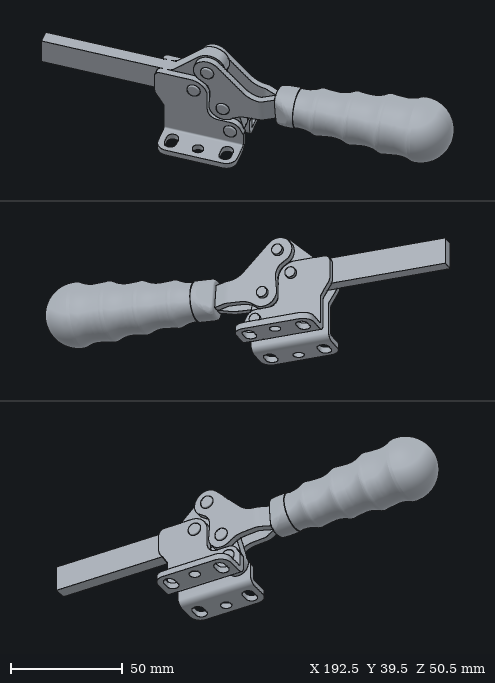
import cadquery as cq
import math

SHEET = 3.0
ARM_HALF = 3.0
OUTER_HALF = ARM_HALF + SHEET

PIVOT_PIN = (72.7, 30.5)
KNUCKLE_PIN = (79.0, 43.0)
HANDLE_PIN = (86.4, 23.0)
LINK_PIN = (89.9, 10.4)
PINS = (PIVOT_PIN, KNUCKLE_PIN, HANDLE_PIN, LINK_PIN)
HEAD_RADIUS = 3.0
HEAD_HEIGHT = 1.0
HEAD_ROUND = 0.5
TAIL_RADIUS = 2.5
TAIL_HEIGHT = 1.7

BASE_LEFT, BASE_RIGHT = 58.7, 96.0
BASE_DEPTH = 39.5
BASE_CORNER = 5.2
BEND_INNER = 1.0
BEND_OUTER = BEND_INNER + SHEET
SLOT_WIDTH, SLOT_LENGTH = 5.4, 8.5
SLOT_SPACING = 25.8
SLOT_Y = 12.9
HOLE_DIAMETER = 5.0
HOLE_Y = 14.2

PLATE_LEFT = 54.3
PLATE_SLOPE_TOP, PLATE_SLOPE_BOTTOM = 24.0, 17.0
PLATE_CORNER = 2.7
SLOPE_TOP_ROUND, SLOPE_BOTTOM_ROUND = 4.0, 2.3
SHOULDER_RADIUS = 7.9
NOTCH_LEFT, NOTCH_FLOOR = 79.0, 15.5
NOTCH_RADIUS = 5.0
PLATE_RIGHT_TOP = 9.8

BAR_BOTTOM, BAR_TOP = 23.7, 36.4
ARM_KNUCKLE_RADIUS = 7.5
ARM_PIVOT_RADIUS = 6.4
ARM_SLOPE_ANGLE = math.radians(133.5)
ARM_SLOPE_ROUND = 5.0
LINK_RADIUS = 5.2

HANDLE_RADIUS = 6.5
CLEARANCE_RADIUS = 7.7
NECK_HALF = 5.48
HANDLE_NECK_ROUND = 10.8
BEND_START = 103.7
BEND_END = 109.7
NECK_END = 127.0
PLAN_HALF_HEIGHT = 38.5
BEND_RADIUS = 3.0

AXIS_POINT = (119.3, 27.7)
AXIS_TILT = 3.7
BALL_RADIUS = 15.0
X_MAX = 192.5
GRIP_START_X = 110.5
GRIP_NOSE_RADIUS = 9.5
GRIP_NOSE_ROUND = 1.7
NOSE_LENGTH = 9.8
COLLAR_LENGTH = 4.2
COLLAR_STEP_LENGTH = 1.2
COLLAR_STEP = 0.4
CRESTS = ((19.8, 10.8), (35.6, 12.1), (51.2, 13.7))
CREST_HALF = 1.2
WAIST_OFFSET = 5.8
WAIST_DROP = 0.4
CROWN_HALF = 0.29
CROWN_HEIGHT = 0.2
RIM_LENGTH = 1.5
RIM_RISE = 0.2
FLARE_SAG = 0.67
CHEEK_HALF = 5.4
CHEEK_LENGTH = 7.7
CHEEK_ROUND = 3.8


def polar(center, radius, angle):
    return (center[0] + radius * math.cos(angle), center[1] + radius * math.sin(angle))


def extrude_y(outline, y_min, y_max):
    """Extrude a closed XZ outline between two Y values."""
    return outline.extrude(y_max - y_min).translate((0, y_max, 0))


def both_sides(solid):
    return solid.union(solid.mirror("XZ"))


def round_edge(solid, corner, radius):
    """Round the Y-directed edge that stands at an XZ corner."""
    middle_y = solid.val().Center().y
    nearest = cq.selectors.NearestToPointSelector((corner[0], middle_y, corner[1]))
    return solid.edges("|Y").edges(nearest).fillet(radius)


def axis_point(x, offset=0.0):
    """Point on the grip axis at x, shifted square to X by offset."""
    tilt = math.tan(math.radians(AXIS_TILT))
    return (x, AXIS_POINT[1] + (x - AXIS_POINT[0]) * tilt + offset)


def tapered_bar(start, start_radius, end, end_radius):
    """Two round ends joined by their outer tangents."""
    length = math.dist(start, end)
    heading = math.atan2(end[1] - start[1], end[0] - start[0])
    swing = math.acos((start_radius - end_radius) / length)
    outline = (
        cq.Workplane("XZ")
        .moveTo(*polar(start, start_radius, heading + swing))
        .threePointArc(
            polar(start, start_radius, heading + math.pi),
            polar(start, start_radius, heading - swing),
        )
        .lineTo(*polar(end, end_radius, heading - swing))
        .threePointArc(polar(end, end_radius, heading), polar(end, end_radius, heading + swing))
        .close()
    )
    return extrude_y(outline, -ARM_HALF, ARM_HALF)


def make_base_side():
    """One bent half of the base: upright plate, bend and slotted foot."""
    half_depth = BASE_DEPTH / 2
    middle_x = (BASE_LEFT + BASE_RIGHT) / 2
    shoulder_center = (NOTCH_LEFT - SHOULDER_RADIUS, BAR_TOP - SHOULDER_RADIUS)
    lug_radius = NOTCH_FLOOR - LINK_PIN[1]
    notch_center = (NOTCH_LEFT + NOTCH_RADIUS, NOTCH_FLOOR + NOTCH_RADIUS)

    outline = (
        cq.Workplane("XZ")
        .moveTo(BASE_LEFT, 0)
        .lineTo(BASE_LEFT, PLATE_SLOPE_BOTTOM)
        .lineTo(PLATE_LEFT, PLATE_SLOPE_TOP)
        .lineTo(PLATE_LEFT, BAR_TOP - PLATE_CORNER)
        .radiusArc((PLATE_LEFT + PLATE_CORNER, BAR_TOP), PLATE_CORNER)
        .lineTo(shoulder_center[0], BAR_TOP)
        .threePointArc(
            polar(shoulder_center, SHOULDER_RADIUS, math.radians(45)), (NOTCH_LEFT, shoulder_center[1])
        )
        .lineTo(NOTCH_LEFT, notch_center[1])
        .threePointArc(
            polar(notch_center, NOTCH_RADIUS, math.radians(225)), (notch_center[0], NOTCH_FLOOR)
        )
        .lineTo(LINK_PIN[0], NOTCH_FLOOR)
        .threePointArc(
            polar(LINK_PIN, lug_radius, math.radians(55)),
            polar(LINK_PIN, lug_radius, math.radians(20)),
        )
        .lineTo(BASE_RIGHT, PLATE_RIGHT_TOP)
        .lineTo(BASE_RIGHT, 0)
        .close()
    )
    upright = extrude_y(outline, ARM_HALF, half_depth)
    upright = round_edge(upright, (PLATE_LEFT, PLATE_SLOPE_TOP), SLOPE_TOP_ROUND)
    upright = round_edge(upright, (BASE_LEFT, PLATE_SLOPE_BOTTOM), SLOPE_BOTTOM_ROUND)

    bend_center = ARM_HALF + BEND_OUTER
    bent_strip = (
        cq.Workplane("YZ")
        .moveTo(ARM_HALF, BAR_TOP)
        .lineTo(ARM_HALF, BEND_OUTER)
        .radiusArc((bend_center, 0), -BEND_OUTER)
        .lineTo(half_depth, 0)
        .lineTo(half_depth, SHEET)
        .lineTo(bend_center, SHEET)
        .radiusArc((OUTER_HALF, BEND_OUTER), BEND_INNER)
        .lineTo(OUTER_HALF, BAR_TOP)
        .close()
        .extrude(BASE_RIGHT)
    )
    side = upright.intersect(bent_strip)
    side = side.edges("|Z and >Y").fillet(BASE_CORNER)

    slots = (
        cq.Workplane("XY")
        .pushPoints([(middle_x + sign * SLOT_SPACING / 2, SLOT_Y) for sign in (-1, 1)])
        .slot2D(SLOT_LENGTH, SLOT_WIDTH, 90)
        .extrude(SHEET)
    )
    hole = cq.Workplane("XY").center(middle_x, HOLE_Y).circle(HOLE_DIAMETER / 2).extrude(SHEET)
    return side.cut(slots).cut(hole)


def make_arm():
    """Clamping bar with a knuckle rising to the handle."""
    bar = cq.Workplane("XY").box(
        PIVOT_PIN[0], 2 * ARM_HALF, BAR_TOP - BAR_BOTTOM, centered=(False, True, False)
    ).translate((0, 0, BAR_BOTTOM))
    slope_top = polar(KNUCKLE_PIN, ARM_KNUCKLE_RADIUS, ARM_SLOPE_ANGLE)
    slope_run = (slope_top[1] - BAR_TOP) * -math.tan(ARM_SLOPE_ANGLE)
    outline = cq.Workplane("XZ").polyline(
        [(slope_top[0] - slope_run, BAR_TOP), slope_top, KNUCKLE_PIN, PIVOT_PIN]
    ).close()
    gusset = extrude_y(outline, -ARM_HALF, ARM_HALF)
    lever = tapered_bar(PIVOT_PIN, ARM_PIVOT_RADIUS, KNUCKLE_PIN, ARM_KNUCKLE_RADIUS)
    arm = bar.union(gusset)
    arm = round_edge(arm, (slope_top[0] - slope_run, BAR_TOP), ARM_SLOPE_ROUND)
    return arm.union(lever)


def make_handle_plates():
    """Two outer plates that run together into one flat tang inside the grip."""
    upper_right = polar(KNUCKLE_PIN, HANDLE_RADIUS, math.radians(45))
    slope_sum = upper_right[0] + upper_right[1]
    neck_rise = math.tan(math.radians(AXIS_TILT))
    neck_top_at_zero = axis_point(0, NECK_HALF)[1]
    slope_foot_x = (slope_sum - neck_top_at_zero) / (1 + neck_rise)
    slope_foot = axis_point(slope_foot_x, NECK_HALF)
    neck_heel = axis_point(HANDLE_PIN[0] + 7.7, -NECK_HALF)
    outline = (
        cq.Workplane("XZ")
        .moveTo(*upper_right)
        .lineTo(*slope_foot)
        .lineTo(*axis_point(NECK_END, NECK_HALF))
        .lineTo(*axis_point(NECK_END, -NECK_HALF))
        .lineTo(*neck_heel)
        .lineTo(*polar(HANDLE_PIN, HANDLE_RADIUS, math.radians(-50)))
        .threePointArc(
            polar(HANDLE_PIN, HANDLE_RADIUS, math.radians(-110)),
            polar(HANDLE_PIN, HANDLE_RADIUS, math.radians(180)),
        )
        .lineTo(*polar(PIVOT_PIN, CLEARANCE_RADIUS, math.radians(-10)))
        .threePointArc(
            polar(PIVOT_PIN, CLEARANCE_RADIUS, math.radians(20)),
            polar(PIVOT_PIN, CLEARANCE_RADIUS, math.radians(45)),
        )
        .lineTo(*polar(KNUCKLE_PIN, HANDLE_RADIUS, math.radians(225)))
        .threePointArc(polar(KNUCKLE_PIN, HANDLE_RADIUS, math.radians(135)), upper_right)
        .close()
    )
    profile = extrude_y(outline, -OUTER_HALF, OUTER_HALF)
    for corner in (slope_foot, neck_heel):
        profile = round_edge(profile, corner, HANDLE_NECK_ROUND)

    bend_angle = math.atan2(ARM_HALF, BEND_END - BEND_START)
    outer_shift = SHEET * math.tan(bend_angle / 2)
    plan = (
        cq.Workplane("XY")
        .polyline(
            [
                (PLATE_LEFT, ARM_HALF),
                (BEND_START, ARM_HALF),
                (BEND_END, 0),
                (NECK_END, 0),
                (NECK_END, SHEET),
                (BEND_END + outer_shift, SHEET),
                (BEND_START + outer_shift, OUTER_HALF),
                (PLATE_LEFT, OUTER_HALF),
            ]
        )
        .close()
        .extrude(PLAN_HALF_HEIGHT, both=True)
    )
    bends = (
        ((BEND_START, ARM_HALF), BEND_RADIUS),
        ((BEND_START + outer_shift, OUTER_HALF), BEND_RADIUS + SHEET),
        ((BEND_END, 0), BEND_RADIUS + SHEET),
        ((BEND_END + outer_shift, SHEET), BEND_RADIUS),
    )
    for corner, radius in bends:
        nearest = cq.selectors.NearestToPointSelector((corner[0], corner[1], 0))
        plan = plan.edges("|Z").edges(nearest).fillet(radius)
    bend_x, bend_z = axis_point(BEND_START)
    plan = plan.rotate((bend_x, 0, 0), (bend_x, 1, 0), -AXIS_TILT).translate((0, 0, bend_z))
    return profile.intersect(both_sides(plan))


def make_grip():
    """Ribbed grip turned about X, then tilted and moved to the handle axis."""
    tilt = math.radians(AXIS_TILT)
    neck_radius = GRIP_NOSE_RADIUS - COLLAR_STEP
    ball_center_x = X_MAX - BALL_RADIUS
    ball_distance = (ball_center_x - GRIP_START_X) / math.cos(tilt)

    profile = (
        cq.Workplane("XY")
        .moveTo(0, 0)
        .lineTo(0, GRIP_NOSE_RADIUS)
        .lineTo(NOSE_LENGTH, GRIP_NOSE_RADIUS)
        .lineTo(NOSE_LENGTH, neck_radius)
    )
    waist = (NOSE_LENGTH, neck_radius)
    for distance, radius in CRESTS:
        rise_end = (distance - CREST_HALF, radius)
        middle = ((waist[0] + rise_end[0]) / 2, (waist[1] + rise_end[1]) / 2 - FLARE_SAG)
        waist = (distance + WAIST_OFFSET, radius - WAIST_DROP)
        profile = (
            profile.threePointArc(middle, rise_end)
            .lineTo(distance - CROWN_HALF, radius + CROWN_HEIGHT)
            .lineTo(distance + CROWN_HALF, radius + CROWN_HEIGHT)
            .lineTo(distance + CREST_HALF, radius)
            .lineTo(*waist)
        )
    rim = (ball_distance - RIM_LENGTH, BALL_RADIUS - RIM_RISE)
    middle = ((waist[0] + rim[0]) / 2, (waist[1] + rim[1]) / 2 - FLARE_SAG)
    grip = (
        profile.threePointArc(middle, rim)
        .lineTo(ball_distance, BALL_RADIUS)
        .radiusArc((ball_distance + BALL_RADIUS, 0), BALL_RADIUS)
        .close()
        .revolve(360, (0, 0, 0), (1, 0, 0))
        .rotate((0, 0, 0), (1, 0, 0), 90)
    )

    cheek_cut = (
        cq.Workplane("XY")
        .polyline(
            [(0, CHEEK_HALF), (CHEEK_LENGTH, GRIP_NOSE_RADIUS), (0, GRIP_NOSE_RADIUS)]
        )
        .close()
        .extrude(GRIP_NOSE_RADIUS, both=True)
    )
    grip = grip.cut(both_sides(cheek_cut))
    cheek_edges = cq.selectors.BoxSelector(
        (CHEEK_LENGTH / 4, -GRIP_NOSE_RADIUS, -GRIP_NOSE_RADIUS),
        (CHEEK_LENGTH, GRIP_NOSE_RADIUS, GRIP_NOSE_RADIUS),
    )
    grip = grip.edges(cheek_edges).fillet(CHEEK_ROUND)
    grip = grip.faces("<X").edges().fillet(GRIP_NOSE_ROUND)

    collar_relief = (
        cq.Workplane("XY")
        .moveTo(COLLAR_LENGTH, GRIP_NOSE_RADIUS)
        .lineTo(COLLAR_LENGTH + COLLAR_STEP_LENGTH, neck_radius)
        .lineTo(NOSE_LENGTH, neck_radius)
        .lineTo(NOSE_LENGTH, GRIP_NOSE_RADIUS)
        .close()
        .revolve(360, (0, 0, 0), (1, 0, 0))
        .rotate((0, 0, 0), (1, 0, 0), 90)
    )
    grip = grip.cut(collar_relief)
    start = axis_point(GRIP_START_X)
    return grip.rotate((0, 0, 0), (0, 1, 0), -AXIS_TILT).translate((start[0], 0, start[1]))


def make_pin(center):
    """Rivet with a rounded head on the -Y side and a plain tail on the +Y side."""
    head = cq.Workplane("XZ").center(*center).circle(HEAD_RADIUS).extrude(HEAD_HEIGHT)
    head = head.faces("<Y").edges().fillet(HEAD_ROUND).translate((0, -OUTER_HALF, 0))
    shank = cq.Workplane("XZ").center(*center).circle(TAIL_RADIUS)
    return head.union(extrude_y(shank, -OUTER_HALF, OUTER_HALF + TAIL_HEIGHT))


result = both_sides(make_base_side())
result = result.union(make_arm())
result = result.union(tapered_bar(HANDLE_PIN, LINK_RADIUS, LINK_PIN, LINK_RADIUS))
result = result.union(make_handle_plates())
result = result.union(make_grip())
for pin in PINS:
    result = result.union(make_pin(pin))